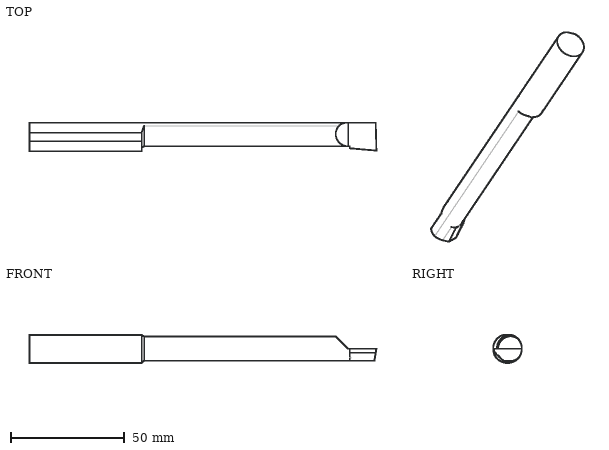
import cadquery as cq
import math

overall_length = 152.4
shank_length = 49.4
shank_radius = 6.35
shank_flat_height = 6.09

neck_radius = 5.4
neck_offset = 1.3
shoulder_length = 0.9
shoulder_height = 0.6

rake_height = 0.0
rake_length = 12.5
tip_length = 11.8
nose_y = -6.05
land_height = 1.75
side_taper = 5.0
land_relief = 15.0
clearance_slope = 45.0
end_relief = 8.5
end_lean = 1.5


def tangent(degrees):
    return math.tan(math.radians(degrees))


def bar_along_x(radius, start, end, center_y=0.0):
    """Round bar parallel to X."""
    return cq.Workplane("YZ", origin=(start, center_y, 0)).circle(radius).extrude(end - start)


def make_shank():
    shank = bar_along_x(shank_radius, 0, shank_length)
    above_flat = (
        cq.Workplane("XY", origin=(0, 0, shank_flat_height))
        .box(shank_length, 2 * shank_radius, shank_radius, centered=(False, True, False))
    )
    return shank.cut(above_flat)


def make_neck():
    """Eccentric bar with a short conical shoulder, kept inside the shank cylinder."""
    neck = bar_along_x(neck_radius, shank_length, overall_length, neck_offset)
    shoulder = (
        cq.Workplane("YZ", origin=(shank_length, neck_offset, 0))
        .circle(neck_radius + shoulder_height)
        .workplane(offset=shoulder_length)
        .circle(neck_radius)
        .loft()
    )
    envelope = bar_along_x(shank_radius, shank_length, overall_length)
    return neck.union(shoulder).intersect(envelope)


def cut_rake(bar):
    """Open the bar above the rake face, running out up a 45 degree ramp."""
    rake_start = overall_length - rake_length
    clear = 2 * shank_radius
    opening = (
        cq.Workplane("XZ")
        .moveTo(rake_start, rake_height)
        .lineTo(overall_length, rake_height)
        .lineTo(overall_length, rake_height + clear)
        .lineTo(rake_start - clear, rake_height + clear)
        .close()
        .extrude(clear, both=True)
    )
    return bar.cut(opening)


def tip_section(edge_y):
    """YZ outline: cutting edge, relieved land, sloping clearance face, bottom of the neck."""
    land_bottom = rake_height - land_height
    land_y = edge_y + land_height * tangent(land_relief)
    bottom_y = land_y + (neck_radius + land_bottom) / tangent(clearance_slope)
    return [
        (edge_y, rake_height),
        (land_y, land_bottom),
        (bottom_y, -neck_radius),
        (neck_offset, -neck_radius),
        (neck_offset, rake_height),
    ]


def make_tip():
    """Side-cutting tip that narrows from the nose back toward the neck."""
    back_y = nose_y + tip_length * tangent(side_taper)
    return (
        cq.Workplane("YZ", origin=(overall_length - tip_length, 0, 0))
        .polyline(tip_section(back_y))
        .close()
        .workplane(offset=tip_length)
        .polyline(tip_section(nose_y))
        .close()
        .loft(ruled=True)
    )


def cut_end_relief(bar):
    """Trim the free end so it slopes back below the rake face and away from the nose."""
    size = 4 * shank_radius
    trim = (
        cq.Workplane("XY")
        .box(size, 2 * size, 2 * size, centered=(False, True, True))
        .rotate((0, 0, 0), (0, 1, 0), end_relief)
        .rotate((0, 0, 0), (0, 0, 1), end_lean)
        .translate((overall_length, nose_y, rake_height))
    )
    return bar.cut(trim)


neck_with_tip = cut_rake(make_neck()).union(make_tip())
result = make_shank().union(cut_end_relief(neck_with_tip))